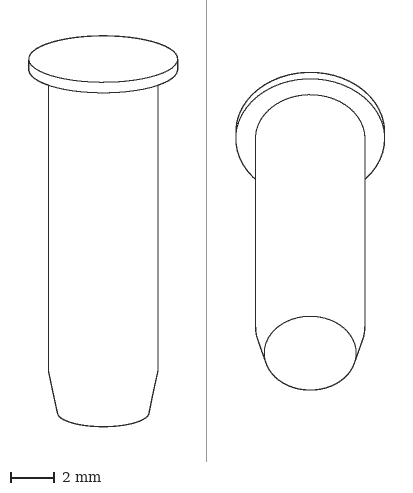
import cadquery as cq

total_length = 17.5
head_diameter = 6.8
shank_diameter = 5.0
tip_diameter = 4.2

dome_height = 0.5
rim_height = 0.5
tip_height = 2.0

head_radius = head_diameter / 2
shank_radius = shank_diameter / 2
tip_radius = tip_diameter / 2

rim_top = total_length - dome_height
rim_bottom = rim_top - rim_height

dome_radius = (head_radius**2 + dome_height**2) / (2 * dome_height)
dome_mid_x = head_radius / 2
dome_mid_z = total_length - dome_radius + (dome_radius**2 - dome_mid_x**2) ** 0.5

half_section = (
    cq.Workplane("XZ")
    .moveTo(0, 0)
    .lineTo(tip_radius, 0)
    .lineTo(shank_radius, tip_height)
    .lineTo(shank_radius, rim_bottom)
    .lineTo(head_radius, rim_bottom)
    .lineTo(head_radius, rim_top)
    .threePointArc((dome_mid_x, dome_mid_z), (0, total_length))
    .close()
)

result = half_section.revolve(360, (0, 0, 0), (0, 1, 0))